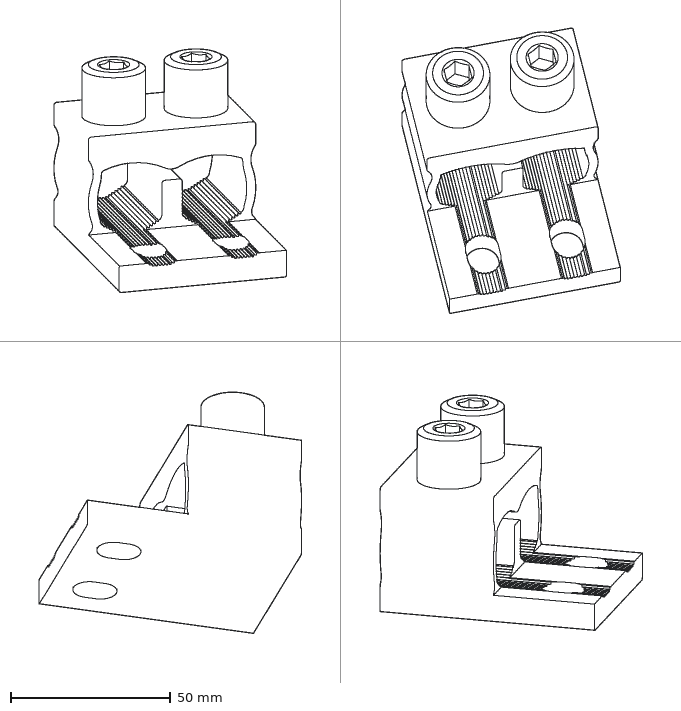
import cadquery as cq
import math

length = 70.0
width = 55.0
block_length = 37.0
block_height = 41.1
flange_height = 8.8
total_height = 58.0
bore_offset = 13.5

bottom_edge_radius = 0.8
top_edge_radius = 1.05
bulge_z = 19.3
bulge_radius = 20.15
upper_waist_z = 28.7
upper_waist_depth = 1.6
lower_waist_top_z = 12.8
lower_waist_bottom_z = 9.4
lower_waist_radius = 3.0
lower_shoulder_z = 8.0
lower_shoulder_inset = 0.4
upper_shoulder_start_z = 32.8
upper_shoulder_z = 33.9
shoulder_radius = 2.1

wall = 3.0
inner_waist_depth = 1.3
roof_z = 31.3
roof_radius = 24.5
roof_ridge_radius = 5.0
roof_corner_radius = 1.0
edge_margin = 0.1
rib_half_width = 3.35
rib_top_z = 24.5
rib_top_radius = 1.0
floor_corner_radius = 2.0
cavity_foot_z = 13.3
floor_z = 8.0
floor_half_width = 3.1
slope_run = 5.95
slope_angle = 30.5
serration_depth = 0.38
level_ridges = 5
slope_ridges = 6

screw_radius = 10.0
screw_top_radius = 8.0
screw_top_chamfer = 1.1
tip_z = 28.0
tip_radius = 2.65
tip_height = 4.1
hex_across_flats = 8.0
socket_rim_radius = 5.05
socket_depth = 8.0
socket_bevel = 0.6

slot_x = 55.7
slot_length = 14.0
slot_width = 10.5

half_width = width / 2
block_middle = block_length / 2
waist_rise = upper_waist_z - bulge_z


def side_wall(crown_y, waist_depth):
    """Y of the bulge centre, Y of the upper waist centre and the waist radius, for tangent arcs."""
    radius_sum = (waist_rise**2 + waist_depth**2) / (2 * waist_depth)
    waist_radius = radius_sum - bulge_radius
    return crown_y - bulge_radius, crown_y - waist_depth + waist_radius, waist_radius


def bulge_point(center_y, z):
    """Point at height z on the bulge arc."""
    return center_y + math.sqrt(bulge_radius**2 - (z - bulge_z)**2), z


def waist_point(center_y, radius, z):
    """Point at height z on an upper waist arc."""
    return center_y - math.sqrt(radius**2 - (z - upper_waist_z)**2), z


def bulge_to_waist(center_y, waist_radius):
    """Point where the bulge runs tangent into the upper waist."""
    return bulge_point(center_y, bulge_z + waist_rise * bulge_radius / (bulge_radius + waist_radius))


def mirrored(half):
    """The half body together with its mirror image across the centre plane."""
    return half.union(half.mirror("XZ"))


def half_body():
    """Outer profile on the +Y side, over the full length."""
    bulge_y, waist_y, upper_waist_radius = side_wall(half_width, upper_waist_depth)
    bulge_bottom = bulge_point(bulge_y, lower_waist_top_z)
    upper_waist_end = waist_point(waist_y, upper_waist_radius, upper_shoulder_start_z)
    return (
        cq.Workplane("YZ")
        .lineTo(half_width - bottom_edge_radius, 0)
        .radiusArc((half_width, bottom_edge_radius), -bottom_edge_radius)
        .lineTo(half_width, lower_shoulder_z)
        .radiusArc((half_width - lower_shoulder_inset, lower_waist_bottom_z), -shoulder_radius)
        .radiusArc(bulge_bottom, lower_waist_radius)
        .radiusArc(bulge_to_waist(bulge_y, upper_waist_radius), -bulge_radius)
        .radiusArc(upper_waist_end, upper_waist_radius)
        .radiusArc((half_width, upper_shoulder_z), -shoulder_radius)
        .lineTo(half_width, block_height - top_edge_radius)
        .radiusArc((half_width - top_edge_radius, block_height), -top_edge_radius)
        .lineTo(0, block_height)
        .close()
        .extrude(length)
    )


def serrate(profile, start, end, arcs, first_side):
    """Add a row of alternating ridge and groove arcs; first_side is 1 for a ridge, -1 for a groove."""
    run = end[0] - start[0]
    rise = end[1] - start[1]
    row_length = math.hypot(run, rise)
    for i in range(arcs):
        side = first_side if i % 2 == 0 else -first_side
        middle = (i + 0.5) / arcs
        offset = side * serration_depth / row_length
        crest = (start[0] + middle * run - offset * rise, start[1] + middle * rise + offset * run)
        finish = (start[0] + (i + 1) / arcs * run, start[1] + (i + 1) / arcs * rise)
        profile = profile.threePointArc(crest, finish)
    return profile


def half_cavity():
    """Conductor cavity on the +Y side of the centre plane."""
    slope_rise = slope_run * math.tan(math.radians(slope_angle))
    floor_left = (bore_offset - floor_half_width, floor_z)
    floor_right = (bore_offset + floor_half_width, floor_z)
    slope_left = (floor_left[0] - slope_run, floor_z + slope_rise)
    slope_right = (floor_right[0] + slope_run, floor_z + slope_rise)
    bulge_y, waist_y, waist_radius = side_wall(half_width - wall, inner_waist_depth)
    roof_center_z = roof_z - roof_radius
    wall_top = waist_point(waist_y, waist_radius, upper_waist_z)
    roof_end_y = wall_top[0]
    roof_end_z = roof_center_z + math.sqrt(roof_radius**2 - (roof_end_y - bore_offset)**2)
    roof_ridge_z = roof_center_z + math.sqrt(roof_radius**2 - bore_offset**2)
    profile = (
        cq.Workplane("YZ")
        .moveTo(0, rib_top_z)
        .lineTo(rib_half_width - rib_top_radius, rib_top_z)
        .radiusArc((rib_half_width, rib_top_z - rib_top_radius), rib_top_radius)
        .lineTo(rib_half_width, cavity_foot_z)
        .radiusArc(slope_left, -floor_corner_radius)
    )
    profile = serrate(profile, slope_left, floor_left, 2 * slope_ridges, -0.7)
    profile = serrate(profile, floor_left, floor_right, 2 * level_ridges + 1, -0.7)
    profile = serrate(profile, floor_right, slope_right, 2 * slope_ridges, 0.7)
    return (
        profile
        .radiusArc(bulge_point(bulge_y, cavity_foot_z), -floor_corner_radius)
        .radiusArc(bulge_to_waist(bulge_y, waist_radius), -bulge_radius)
        .radiusArc(wall_top, waist_radius)
        .lineTo(roof_end_y, roof_end_z)
        .radiusArc((0, roof_ridge_z), -roof_radius)
        .close()
        .extrude(length)
    )


def cavity():
    """Both conductor bores, joined above the rib, with the roof edges rounded."""
    both = mirrored(half_cavity())
    ridge_edge = cq.selectors.BoxSelector(
        (0, -rib_half_width, rib_top_z + rib_top_radius), (length, rib_half_width, block_height)
    )
    corner_edges = cq.selectors.BoxSelector(
        (0, -half_width, upper_waist_z + edge_margin), (length, half_width, block_height)
    )
    both = both.edges("|X").edges(ridge_edge).fillet(roof_ridge_radius)
    return both.edges("|X").edges(corner_edges).fillet(roof_corner_radius)


def screw(y):
    """Clamping screw with a conical tip, a bevelled head and a hexagon socket."""
    body = (
        cq.Workplane("XZ")
        .moveTo(0, tip_z)
        .lineTo(tip_radius, tip_z)
        .lineTo(screw_radius, tip_z + tip_height)
        .lineTo(screw_radius, total_height - screw_top_chamfer)
        .lineTo(screw_top_radius, total_height)
        .lineTo(0, total_height)
        .close()
        .revolve(360, (0, 0, 0), (0, 1, 0))
    )
    hex_diameter = 2 * hex_across_flats / math.sqrt(3)
    socket = (
        cq.Workplane("XY", origin=(0, 0, total_height))
        .polygon(6, hex_diameter)
        .extrude(-socket_depth)
    )
    rim_bevel = (
        cq.Workplane("XY", origin=(0, 0, total_height))
        .circle(socket_rim_radius)
        .workplane(offset=-socket_bevel)
        .circle(hex_across_flats / 2)
        .loft()
    )
    return body.cut(socket).cut(rim_bevel).translate((block_middle, y, 0))


def flange_slot(y):
    """Cutter for a mounting slot through the flange."""
    return (
        cq.Workplane("XY")
        .center(slot_x, y)
        .slot2D(slot_length, slot_width)
        .extrude(flange_height)
    )


def above_flange():
    """Space above the flange, where the profile stops at the end of the clamping block."""
    return (
        cq.Workplane("XY", origin=(block_length, 0, flange_height))
        .box(length - block_length, width, block_height - flange_height, centered=(False, True, False))
    )


result = mirrored(half_body()).cut(cavity()).cut(above_flange())
for bore_y in (-bore_offset, bore_offset):
    result = result.cut(flange_slot(bore_y)).union(screw(bore_y))